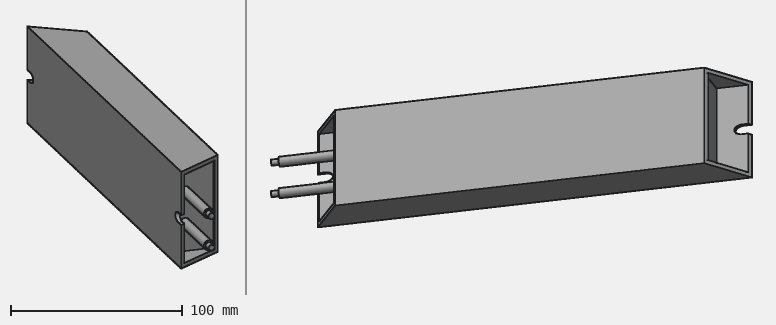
import cadquery as cq

base_length = 265.0
height = 60.0
depth = 30.0
end_slant = 20.0

wall = 2.5
recess_floor = 21.0

slot_width = 6.0
slot_length = 10.2
slot_end_reach = slot_length / 2

total_length = 290.0
lead_spacing = 19.7
lead_offset = 10.0
sleeve_diameter = 6.0
sleeve_reach = 20.0
core_diameter = 3.8


def make_housing():
    return (
        cq.Workplane("XY")
        .polyline([
            (0, 0),
            (base_length, 0),
            (base_length - end_slant, depth),
            (end_slant, depth),
        ])
        .close()
        .extrude(height / 2, both=True)
    )


def make_recess(outer_x, inward):
    """Rectangular pocket running from an end of the housing to its floor."""
    return cq.Workplane("XY").box(
        recess_floor, depth - 2 * wall, height - 2 * wall
    ).translate((outer_x + inward * recess_floor / 2, depth / 2, 0))


def make_slot(outer_x, inward):
    """Slot through the wall of the long face, closed by a half-elliptical end."""
    ellipse_center_x = outer_x + inward * (slot_length - slot_end_reach)
    straight = cq.Workplane("XZ").moveTo((outer_x + ellipse_center_x) / 2, 0).rect(
        slot_length - slot_end_reach, slot_width
    ).extrude(-wall)
    tapered_end = cq.Workplane("XZ").moveTo(ellipse_center_x, 0).ellipse(
        slot_end_reach, slot_width / 2
    ).extrude(-wall)
    return straight.union(tapered_end)


def make_lead(z):
    """Insulated sleeve with a thinner bare core, rooted in the +X recess floor."""
    root_x = base_length - recess_floor
    sleeve_length = base_length + sleeve_reach - root_x
    root = cq.Workplane("YZ", origin=(root_x, lead_offset, z))
    sleeve = root.circle(sleeve_diameter / 2).extrude(sleeve_length)
    core = root.circle(core_diameter / 2).extrude(total_length - root_x)
    return sleeve.union(core)


result = make_housing()
for outer_x, inward in ((0, 1), (base_length, -1)):
    result = result.cut(make_recess(outer_x, inward)).cut(make_slot(outer_x, inward))
for side in (-1, 1):
    result = result.union(make_lead(side * lead_spacing / 2))